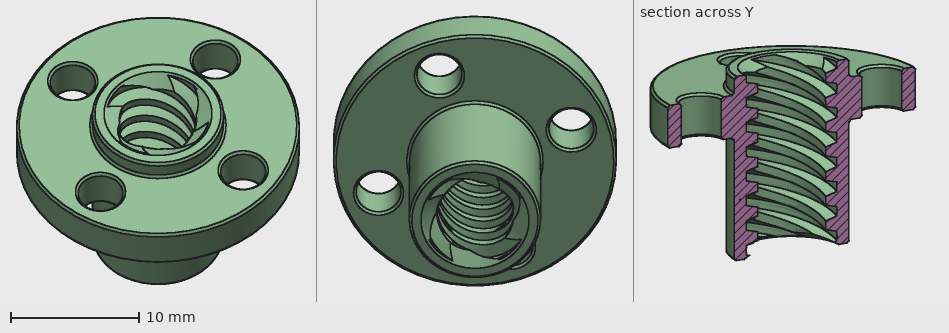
import cadquery as cq
import math

height = 15.0
flange_diameter = 22
body_diameter = 10.2
flange_thickness = 3.5
collar_height = 1.5
edge_break = 0.2

bolt_count = 4
bolt_hole_diameter = 3.5
bolt_circle_diameter = 16.0

bore_diameter = 6.0
thread_diameter = 8.0
thread_starts = 4
thread_pitch = 2.0
thread_half_flank_angle = 15
thread_phase = 96.5
thread_overrun = 1.1
flank_steps = 4

countersink_diameter = 8.4
countersink_angle = 120

flange_top = height - collar_height
flange_bottom = flange_top - flange_thickness
flange_radius = flange_diameter / 2
body_radius = body_diameter / 2
bore_radius = bore_diameter / 2
thread_radius = thread_diameter / 2
countersink_radius = countersink_diameter / 2
countersink_slope = math.tan(math.radians(countersink_angle / 2))
lead = thread_starts * thread_pitch


def revolve_profile(points):
    """Turn a closed (radius, height) outline about the Z axis."""
    return cq.Workplane("XZ").polyline(points).close().revolve(360, (0, 0), (0, 1))


def make_blank():
    """Flanged body with broken edges and small conical fillets at the flange."""
    return revolve_profile([
        (0, 0),
        (body_radius - edge_break, 0),
        (body_radius, edge_break),
        (body_radius, flange_bottom - edge_break),
        (body_radius + edge_break, flange_bottom),
        (flange_radius - edge_break, flange_bottom),
        (flange_radius, flange_bottom + edge_break),
        (flange_radius, flange_top - edge_break),
        (flange_radius - edge_break, flange_top),
        (body_radius + edge_break, flange_top),
        (body_radius, flange_top + edge_break),
        (body_radius, height - edge_break),
        (body_radius - edge_break, height),
        (0, height),
    ])


def make_bolt_hole():
    """Cutter for one through hole with a chamfer at each face of the flange."""
    radius = bolt_hole_diameter / 2
    hole = revolve_profile([
        (0, flange_bottom),
        (radius + edge_break, flange_bottom),
        (radius, flange_bottom + edge_break),
        (radius, flange_top - edge_break),
        (radius + edge_break, flange_top),
        (0, flange_top),
    ])
    return hole.translate((bolt_circle_diameter / 2, 0, 0))


def make_countersinks():
    """Cutter for the conical countersinks at both ends of the bore."""
    depth = countersink_radius / countersink_slope
    return revolve_profile([
        (0, 0),
        (countersink_radius, 0),
        (0, depth),
    ]) + revolve_profile([
        (0, height - depth),
        (countersink_radius, height),
        (0, height),
    ])


def polar_point(radius, angle):
    """Point at a radius and an angle in degrees."""
    return radius * math.cos(math.radians(angle)), radius * math.sin(math.radians(angle))


def make_threaded_bore():
    """Cutter for the bore and its grooves: one cross-section twisted along Z."""
    flank_slope = math.tan(math.radians(thread_half_flank_angle))
    flank_shift = (thread_radius - bore_radius) / 2 * flank_slope

    root_half_angle = 360 * (thread_pitch / 4 - flank_shift) / lead
    mouth_half_angle = 360 * (thread_pitch / 4 + flank_shift) / lead
    spacing = 360 / thread_starts

    meeting_height = height - (countersink_radius - thread_radius) / countersink_slope
    start_phase = thread_phase - 360 * (meeting_height + thread_overrun) / lead

    def flank_point(center, side, fraction):
        """Point on a spiral flank, from the mouth (0) to the root (1)."""
        radius = bore_radius + fraction * (thread_radius - bore_radius)
        half_angle = mouth_half_angle + fraction * (root_half_angle - mouth_half_angle)
        return polar_point(radius, center + side * half_angle)

    def flank(center, side):
        """Spiral edge between the bore and the groove root."""
        points = [flank_point(center, side, step / flank_steps) for step in range(flank_steps + 1)]
        return cq.Edge.makeSpline([cq.Vector(*point) for point in points])

    def arc(radius, center, half_angle):
        """Circular edge about the axis, centred on a direction."""
        angles = (center - half_angle, center, center + half_angle)
        return cq.Edge.makeThreePointArc(*[cq.Vector(*polar_point(radius, a)) for a in angles])

    edges = []
    for start in range(thread_starts):
        center = start_phase + start * spacing
        edges += [
            flank(center, -1),
            arc(thread_radius, center, root_half_angle),
            flank(center, 1),
            arc(bore_radius, center + spacing / 2, spacing / 2 - mouth_half_angle),
        ]
    section = cq.Wire.assembleEdges(edges)
    length = height + 2 * thread_overrun
    bore = cq.Solid.extrudeLinearWithRotation(
        section, [], cq.Vector(0, 0, 0), cq.Vector(0, 0, length), 360 * length / lead
    )
    return cq.Workplane(bore).translate((0, 0, -thread_overrun))


def cut_around_axis(part, cutter, count):
    """Cut evenly spaced copies of a cutter around the Z axis."""
    for index in range(count):
        part = part.cut(cutter.rotate((0, 0, 0), (0, 0, 1), index * 360 / count))
    return part


nut = make_blank().cut(make_threaded_bore()).cut(make_countersinks())
result = cut_around_axis(nut, make_bolt_hole(), bolt_count)